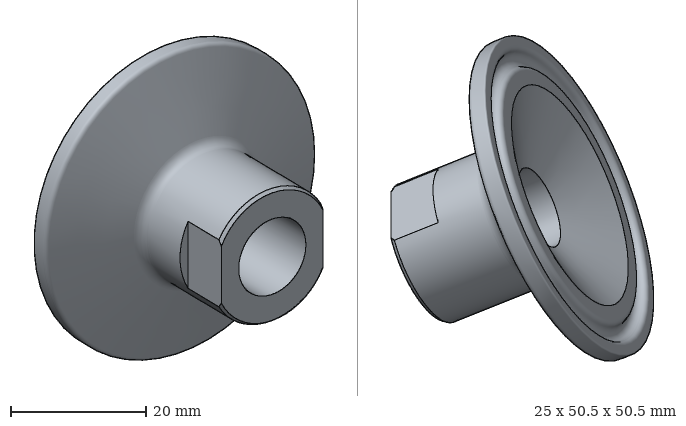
import cadquery as cq
import math

length = 25.0
flange_radius = 25.25
cone_angle = math.radians(70)
rim_land_end = 2.25
rim_back_round = 0.8
rim_front_round = 0.25
body_radius = 11.0
neck_round = 1.95
end_chamfer_length = 0.6
end_chamfer_depth = 0.4

bore_radius = 6.25
funnel_mouth_radius = 17.4
funnel_depth = 5.15

groove_inner_radius = 19.7
groove_outer_radius = 23.7
groove_depth = 1.6
groove_lip_round = 0.8

flat_start = 16.95
across_flats = 19.0


def arc_point(center, radius, angle):
    """Point (x, r) on a circle, with the angle measured from the +X direction."""
    return (center[0] + radius * math.cos(angle), center[1] + radius * math.sin(angle))


def revolve_about_axis(profile):
    return profile.close().revolve(360, (0, 0, 0), (1, 0, 0))


def make_body():
    normal = math.pi / 2 - cone_angle
    rim_center = (rim_land_end, flange_radius - rim_back_round)
    cone_top = arc_point(rim_center, rim_back_round, normal)
    rim_middle = arc_point(rim_center, rim_back_round, (normal + math.pi / 2) / 2)

    neck_center_radius = body_radius + neck_round
    cone_bottom_radius = neck_center_radius - neck_round * math.sin(normal)
    cone_bottom_x = cone_top[0] + (cone_top[1] - cone_bottom_radius) / math.tan(cone_angle)
    neck_center = (cone_bottom_x + neck_round * math.cos(normal), neck_center_radius)
    neck_middle = arc_point(neck_center, neck_round, math.pi + (normal + math.pi / 2) / 2)

    front_center = (rim_front_round, flange_radius - rim_front_round)
    front_middle = arc_point(front_center, rim_front_round, 0.75 * math.pi)

    profile = (
        cq.Workplane("XY")
        .moveTo(0, 0)
        .lineTo(0, front_center[1])
        .threePointArc(front_middle, (rim_front_round, flange_radius))
        .lineTo(rim_land_end, flange_radius)
        .threePointArc(rim_middle, cone_top)
        .lineTo(cone_bottom_x, cone_bottom_radius)
        .threePointArc(neck_middle, (neck_center[0], body_radius))
        .lineTo(length - end_chamfer_length, body_radius)
        .lineTo(length, body_radius - end_chamfer_depth)
        .lineTo(length, 0)
    )
    return revolve_about_axis(profile)


def make_funnel_and_bore():
    profile = (
        cq.Workplane("XY")
        .moveTo(0, 0)
        .lineTo(0, funnel_mouth_radius)
        .lineTo(funnel_depth, bore_radius)
        .lineTo(length, bore_radius)
        .lineTo(length, 0)
    )
    return revolve_about_axis(profile)


def make_gasket_groove():
    middle_radius = (groove_inner_radius + groove_outer_radius) / 2
    half_width = (groove_outer_radius - groove_inner_radius) / 2
    sine = math.sin(cone_angle)
    cosine = math.cos(cone_angle)
    lip_drop = groove_lip_round * (1 - cosine)
    lip_end_offset = half_width - groove_lip_round * sine

    flank_slope = math.tan(cone_angle)
    drop = groove_depth - lip_drop
    bottom_round = (lip_end_offset * flank_slope - drop) / (sine * flank_slope - (1 - cosine))
    bottom_center_x = groove_depth - bottom_round
    flank_end_x = bottom_center_x + bottom_round * cosine
    flank_end_offset = bottom_round * sine

    lip_middle_x = groove_lip_round * (1 - math.cos(cone_angle / 2))
    lip_middle_offset = half_width - groove_lip_round * math.sin(cone_angle / 2)

    profile = (
        cq.Workplane("XY")
        .moveTo(0, groove_inner_radius)
        .threePointArc((lip_middle_x, middle_radius - lip_middle_offset),
                       (lip_drop, middle_radius - lip_end_offset))
        .lineTo(flank_end_x, middle_radius - flank_end_offset)
        .threePointArc((groove_depth, middle_radius),
                       (flank_end_x, middle_radius + flank_end_offset))
        .lineTo(lip_drop, middle_radius + lip_end_offset)
        .threePointArc((lip_middle_x, middle_radius + lip_middle_offset),
                       (0, groove_outer_radius))
    )
    return revolve_about_axis(profile)


def make_wrench_flats():
    """Material outside the two parallel flats, on the -Y and +Y sides of the body."""
    outside = cq.Workplane("XY").box(
        length - flat_start, 2 * body_radius, 2 * body_radius, centered=(False, True, True)
    )
    kept = cq.Workplane("XY").box(
        length - flat_start, across_flats, 2 * body_radius, centered=(False, True, True)
    )
    return outside.cut(kept).translate((flat_start, 0, 0))


result = (
    make_body()
    .cut(make_funnel_and_bore())
    .cut(make_gasket_groove())
    .cut(make_wrench_flats())
)